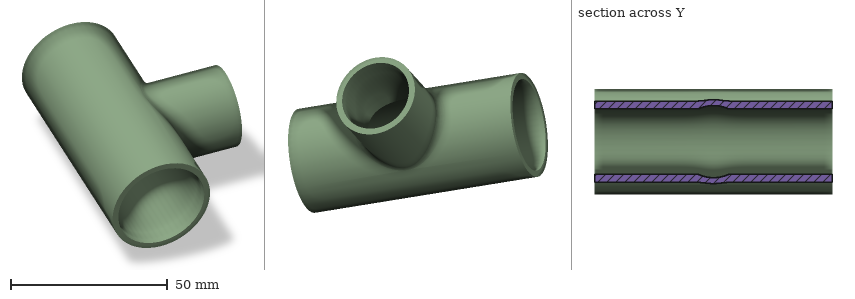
import cadquery as cq

run_length = 76.0
run_outer_diameter = 33.7
run_bore_diameter = 29.7

branch_outer_diameter = 26.9
branch_bore_diameter = 22.9
overall_depth = 54.9
branch_reach = overall_depth - run_outer_diameter / 2

junction_fillet_radius = 2.0


def run_cylinder(diameter):
    """Cylinder along X, centred on the origin, as long as the run."""
    return cq.Workplane("YZ").circle(diameter / 2).extrude(run_length / 2, both=True)


def branch_cylinder(diameter):
    """Cylinder along +Y from the run axis to the end of the branch."""
    return cq.Workplane("XZ").circle(diameter / 2).extrude(-branch_reach)


def outer_body():
    """Solid tee with the seam between run and branch rounded."""
    run = run_cylinder(run_outer_diameter)
    tee = run.union(branch_cylinder(branch_outer_diameter))

    branch_radius = branch_outer_diameter / 2
    seam_box = cq.selectors.BoxSelector(
        (-branch_radius, 0, -branch_radius),
        (branch_radius, run_outer_diameter / 2, branch_radius),
    )
    seam = tee.edges(seam_box)
    return seam.fillet(junction_fillet_radius)


def bores():
    """Through bore of the run joined with the bore of the branch."""
    return run_cylinder(run_bore_diameter).union(branch_cylinder(branch_bore_diameter))


result = outer_body().cut(bores())